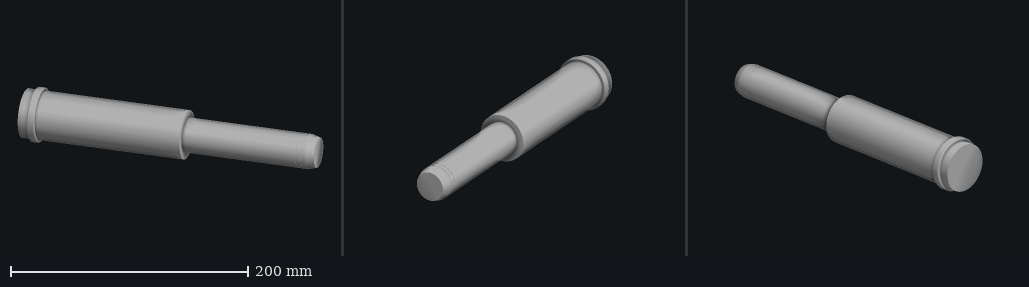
import cadquery as cq

total_length = 260.0
body_diameter = 42.0
collar_diameter = 47.0
shaft_diameter = 30.0
tip_diameter = 25.7

body_length = 143.5
collar_start = 8.8
collar_width = 6.2
collar_chamfer = 0.5
seat_clearance = 0.8
seat_depth = 0.8

lead_in_length = 4.7
lead_in_drop = 0.1

groove_width = 0.8
groove_depth = 0.3
ring_groove_starts = (244.5, 249.0)
tip_taper_length = 7.0


def cylinder(diameter, start, length):
    """Solid cylinder along X, beginning at the given distance from the thick end."""
    plane = cq.Workplane("YZ", origin=(start - total_length / 2, 0, 0))
    return plane.circle(diameter / 2).extrude(length)


def make_body():
    """Thick cylinder with a long, very shallow taper at its shoulder."""
    body = cylinder(body_diameter, 0, body_length)
    return body.faces(">X").chamfer(lead_in_length, lead_in_drop)


def make_collar():
    """Chamfered disc that forms the ring around the body."""
    collar = cylinder(collar_diameter, collar_start, collar_width)
    return collar.edges().chamfer(collar_chamfer)


def make_shaft():
    """Thin cylinder with a conical tip."""
    shaft = cylinder(shaft_diameter, body_length, total_length - body_length)
    tip_drop = (shaft_diameter - tip_diameter) / 2
    return shaft.faces(">X").chamfer(tip_taper_length, tip_drop)


def make_groove(outer_diameter, depth, start, width):
    """Ring of material to remove from a cylindrical surface."""
    core_diameter = outer_diameter - 2 * depth
    return cylinder(outer_diameter, start, width).cut(cylinder(core_diameter, start, width))


seat_groove = make_groove(
    body_diameter, seat_depth, collar_start - seat_clearance, collar_width + 2 * seat_clearance
)
result = make_body().cut(seat_groove).union(make_collar()).union(make_shaft())

for groove_start in (body_length, *ring_groove_starts):
    result = result.cut(make_groove(shaft_diameter, groove_depth, groove_start, groove_width))